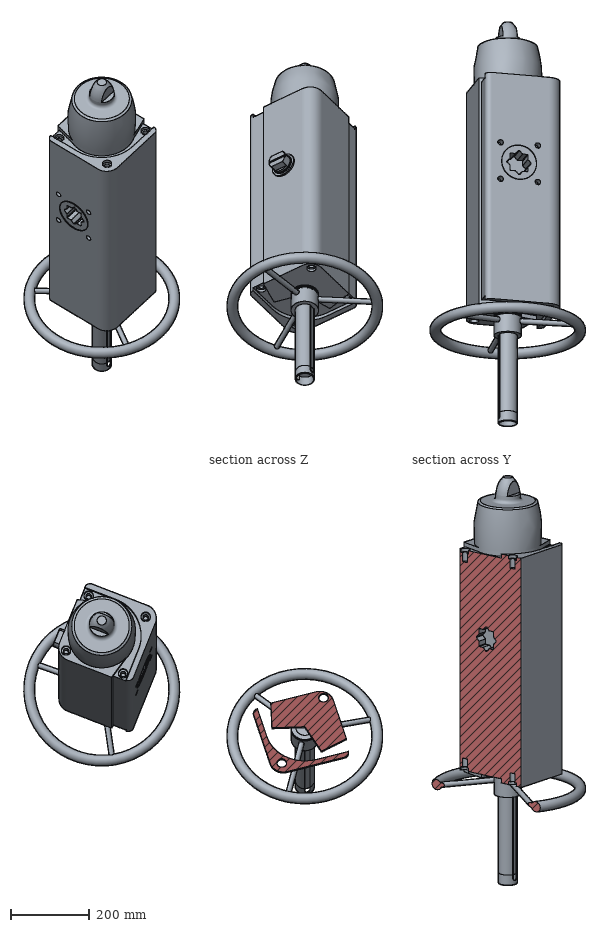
import cadquery as cq
import math

top_z = 542.0
bottom_z = -542.0

housing_top_z = 365.0
housing_bottom_z = -246.0
near_side = 93.0
far_side = 116.0
step_side = 87.0
step_start = 64.0
step_slope = math.radians(14)
large_corner = 36.0
small_corner = 14.0

shelf_depth = 11.0
rim_radius = 101.0

screw_near = 70.0
screw_far = 87.0
screw_recess_d = 24.0
screw_recess_depth = 9.0
screw_hole_d = 14.0
screw_hole_depth = 33.0

drive_z = 129.0
drive_recess_d = 92.0
drive_recess_depth = 2.0
star_square = 47.0
star_tip_d = 64.0
star_depth = 54.0
flange_hole_pitch = 99.0
flange_hole_d = 14.0
flange_hole_depth = 22.0
stub_base_d = 66.0
stub_base_y = 98.0
stub_collar_d = 54.0
stub_collar_y = 101.0
stub_d = 50.0
stub_flat_start_y = 106.0
stub_end_y = 125.0
stub_flat_width = 36.0
stub_slot = 4.1

dome_top_z = 479.0
dome_bottom_r = 86.0
dome_belly_r = 88.0
dome_belly_z = 401.0
dome_edge_r = 77.0
dome_edge_drop = 3.0
dome_flat_r = 70.0
neck_r = 32.0
neck_fillet = 10.0
pointer_base_z = 499.0
pointer_mid_r = 25.0
pointer_mid_z = 524.0
pointer_tip_r = 12.0
pointer_thickness = 38.0

wheel_d = 400.0
rim_d = 28.0
rim_z = -288.0
hub_d = 70.0
hub_top_z = -254.0
collar_thickness = 3.0
hub_neck_d = 64.0
spoke_d = 14.0
spoke_count = 3
spoke_hub_z = -266.0
rim_center_r = (wheel_d - rim_d) / 2
hub_bottom_z = rim_z - rim_d / 2

tube_d = 50.0
tube_chamfer = 3.0
bore_d = 45.0
slot_width = 14.0
slot_bottom_z = -529.0
spindle_end_z = -513.0


def cylinder_z(diameter, low_z, high_z):
    return cq.Workplane("XY").workplane(offset=low_z).circle(diameter / 2).extrude(high_z - low_z)


def cylinder_y(diameter, start_y, end_y):
    """Cylinder on the cross-drive axis."""
    return (
        cq.Workplane("XZ", origin=(0, start_y, drive_z)).circle(diameter / 2).extrude(start_y - end_y)
    )


def make_block():
    """Housing prism with two set-back strips and three kinds of corner."""
    slope_run = (near_side - step_side) * math.tan(step_slope)
    step_end = step_start + slope_run
    block = (
        cq.Workplane("XY")
        .workplane(offset=housing_bottom_z)
        .moveTo(-near_side, near_side)
        .lineTo(step_start, near_side)
        .lineTo(step_end, step_side)
        .lineTo(far_side, step_side)
        .lineTo(far_side, -far_side)
        .lineTo(-step_side, -far_side)
        .lineTo(-step_side, -step_end)
        .lineTo(-near_side, -step_start)
        .close()
        .extrude(housing_top_z - housing_bottom_z)
    )
    large_corners = [(-near_side, near_side), (far_side, -far_side)]
    small_corners = [(far_side, step_side), (-step_side, -far_side)]
    for corners, radius in ((large_corners, large_corner), (small_corners, small_corner)):
        for x, y in corners:
            block = block.edges(cq.selectors.NearestToPointSelector((x, y, 0))).fillet(radius)
    return block


def make_shelf(low_z):
    """Shelf recess: inside the rounded rim, outside the raised platform at -X +Y."""
    diagonal = rim_radius * math.sqrt(0.5)
    bowl = (
        cq.Workplane("XY")
        .workplane(offset=low_z)
        .moveTo(-far_side, far_side)
        .lineTo(rim_radius, far_side)
        .lineTo(rim_radius, 0)
        .threePointArc((diagonal, -diagonal), (0, -rim_radius))
        .lineTo(-far_side, -rim_radius)
        .close()
        .extrude(shelf_depth)
    )
    slope_tan = math.tan(step_slope)
    foot_distance = (step_start + near_side * slope_tan) * math.cos(step_slope)
    foot_x = foot_distance * math.cos(step_slope)
    foot_y = foot_distance * math.sin(step_slope)
    outer = near_side + shelf_depth
    outer_start = step_start - shelf_depth * slope_tan
    platform = (
        cq.Workplane("XY")
        .workplane(offset=low_z)
        .moveTo(-outer, outer)
        .lineTo(outer_start, outer)
        .lineTo(foot_x, foot_y)
        .lineTo(0, 0)
        .lineTo(-foot_y, -foot_x)
        .lineTo(-outer, -outer_start)
        .close()
        .extrude(shelf_depth)
    )
    return bowl.cut(platform)


def make_screw_hole(x, y, face_z, inward):
    """Recessed screw hole; inward is the direction along Z into the housing."""
    recess = cq.Workplane("XY", origin=(x, y, face_z)).circle(screw_recess_d / 2)
    hole = cq.Workplane("XY", origin=(x, y, face_z)).circle(screw_hole_d / 2)
    return recess.extrude(inward * screw_recess_depth).union(hole.extrude(inward * screw_hole_depth))


def cut_screw_holes(block):
    positions = [
        (-screw_near, screw_near, 0),
        (screw_far, -screw_far, 0),
        (screw_far, screw_near, shelf_depth),
        (-screw_near, -screw_far, shelf_depth),
    ]
    for x, y, sunk in positions:
        block = block.cut(make_screw_hole(x, y, housing_top_z - sunk, -1))
        block = block.cut(make_screw_hole(x, y, housing_bottom_z + sunk, 1))
    return block


def cut_drive_socket(block):
    """Round recess, eight-pointed star socket and four flange holes in the -Y face."""
    block = block.cut(cylinder_y(drive_recess_d, -far_side, -far_side + drive_recess_depth))
    face = cq.Workplane("XZ", origin=(0, -far_side, drive_z))
    star_tips = cylinder_y(star_tip_d, -far_side, -far_side + star_depth)
    for turn in (0, 45):
        square = face.transformed(rotate=(0, 0, turn)).rect(star_square, star_square).extrude(-star_depth)
        block = block.cut(square.intersect(star_tips))
    flange_holes = (
        face.rect(flange_hole_pitch, flange_hole_pitch, forConstruction=True)
        .vertices()
        .circle(flange_hole_d / 2)
        .extrude(-flange_hole_depth)
    )
    return block.cut(flange_holes)


def make_drive_stub():
    """Stepped stub on the +Y face with two flats and a slot across its end."""
    stub = cylinder_y(stub_d, near_side, stub_end_y)
    flat_length = stub_end_y - stub_flat_start_y
    flat_center_y = stub_flat_start_y + flat_length / 2
    flatted_zone = cq.Workplane("XY").box(stub_d, flat_length, stub_d)
    kept_zone = cq.Workplane("XY").box(stub_d, flat_length, stub_flat_width)
    stub = stub.cut(flatted_zone.cut(kept_zone).translate((0, flat_center_y, drive_z)))
    slot = cq.Workplane("XY").box(stub_d, 2 * stub_slot, stub_slot)
    stub = stub.cut(slot.translate((0, stub_end_y, drive_z)))
    base = cylinder_y(stub_base_d, near_side, stub_base_y)
    collar = cylinder_y(stub_collar_d, near_side, stub_collar_y)
    return stub.union(base).union(collar)


def make_dome():
    """Barrel-shaped dome with a filleted neck, standing on the shelf."""
    fillet_mid = neck_fillet * (1 - math.sqrt(0.5))
    return (
        cq.Workplane("XZ")
        .moveTo(0, housing_top_z - shelf_depth)
        .lineTo(dome_bottom_r, housing_top_z - shelf_depth)
        .lineTo(dome_bottom_r, housing_top_z)
        .threePointArc((dome_belly_r, dome_belly_z), (dome_edge_r, dome_top_z - dome_edge_drop))
        .lineTo(dome_flat_r, dome_top_z)
        .lineTo(neck_r + neck_fillet, dome_top_z)
        .threePointArc(
            (neck_r + fillet_mid, dome_top_z + fillet_mid), (neck_r, dome_top_z + neck_fillet)
        )
        .lineTo(neck_r, pointer_base_z)
        .lineTo(0, pointer_base_z)
        .close()
        .revolve(360, (0, 0, 0), (0, 1, 0))
    )


def make_pointer():
    """Ogive on top of the dome, cut down to a slab."""
    ogive = (
        cq.Workplane("XZ")
        .moveTo(0, pointer_base_z)
        .lineTo(neck_r, pointer_base_z)
        .threePointArc((pointer_mid_r, pointer_mid_z), (pointer_tip_r, top_z))
        .lineTo(0, top_z)
        .close()
        .revolve(360, (0, 0, 0), (0, 1, 0))
    )
    slab_height = top_z - pointer_base_z
    slab = cq.Workplane("XY").box(pointer_thickness, 2 * neck_r, slab_height)
    return ogive.intersect(slab.translate((0, 0, pointer_base_z + slab_height / 2)))


def make_hub_and_spokes():
    """Grooved hub with three sloping spokes."""
    wheel = cylinder_z(hub_d, hub_bottom_z, hub_top_z)
    wheel = wheel.union(cylinder_z(hub_neck_d, hub_top_z, housing_bottom_z))
    wheel = wheel.union(cylinder_z(hub_d, housing_bottom_z - collar_thickness, housing_bottom_z))
    spoke_start = cq.Vector(0, tube_d / 2, spoke_hub_z)
    spoke_run = cq.Vector(0, rim_center_r, rim_z) - spoke_start
    spoke = cq.Workplane(
        cq.Solid.makeCylinder(spoke_d / 2, spoke_run.Length, spoke_start, spoke_run)
    )
    for i in range(spoke_count):
        wheel = wheel.union(spoke.rotate((0, 0, 0), (0, 0, 1), i * 360 / spoke_count))
    return wheel


def make_rim():
    return cq.Workplane(cq.Solid.makeTorus(rim_center_r, rim_d / 2, cq.Vector(0, 0, rim_z)))


def make_tube():
    return cylinder_z(tube_d, bottom_z, hub_bottom_z).faces("<Z").edges().chamfer(tube_chamfer)


def make_tube_slot():
    """Slot through both tube walls along X, with a round lower end."""
    slot_end_z = slot_bottom_z + slot_width / 2
    slot_length = hub_bottom_z - slot_end_z
    straight = cq.Workplane("XY").box(tube_d, slot_width, slot_length)
    straight = straight.translate((0, 0, slot_end_z + slot_length / 2))
    round_end = (
        cq.Workplane("YZ", origin=(-tube_d / 2, 0, slot_end_z)).circle(slot_width / 2).extrude(tube_d)
    )
    return straight.union(round_end)


def make_actuator():
    block = make_block()
    block = block.cut(make_shelf(housing_top_z - shelf_depth))
    block = block.cut(make_shelf(housing_bottom_z))
    block = cut_screw_holes(block)
    block = cut_drive_socket(block)
    actuator = block.union(make_drive_stub()).union(make_dome()).union(make_pointer())
    actuator = actuator.union(make_hub_and_spokes()).union(make_tube())
    bore = cylinder_z(bore_d, bottom_z, housing_bottom_z)
    actuator = actuator.cut(bore).cut(make_tube_slot())
    return actuator.union(make_rim(), clean=False)


def make_spindle():
    return cylinder_z(bore_d, spindle_end_z, housing_bottom_z)


actuator = make_actuator()
spindle = make_spindle()

result = cq.Compound.makeCompound([actuator.val(), spindle.val()])